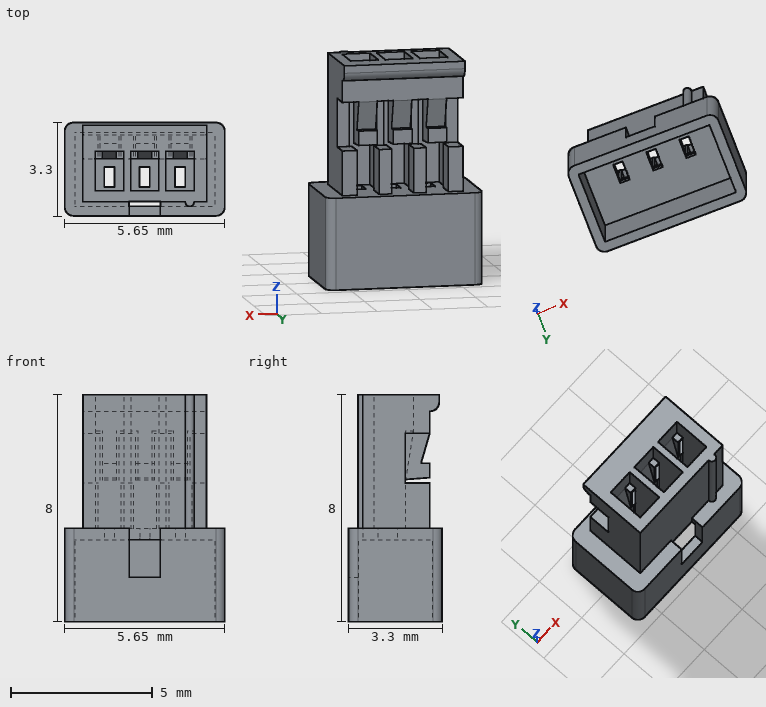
import cadquery as cq

base_length = 5.65
base_width = 3.3
base_height = 3.3
base_corner_radius = 0.32
total_height = 8.0

wall = 0.35
ceiling_height = 2.9

notch_width = 1.1
notch_floor = 1.57

body_length = 4.35
front_setback = 0.5
body_depth = 2.36
lip_overhang = 0.34
lip_height = 0.59
key_radius = 0.15
key_standoff = 0.02
key_x = 1.58

slot_count = 3
slot_pitch = 1.25
slot_width = 1.0
slot_front_wall = 0.38
slot_depth = 1.39
slot_floor = base_height
slot_ledge_above_window = 0.1
pin_hole_width = 0.35
pin_hole_depth = 0.7
pin_hole_setback = 0.52

window_top = total_height - 1.37
window_bottom = total_height - 3.1
window_setback = 1.5
channel_width = 0.8
arm_width = 0.67
arm_groove_width = 0.5
arm_ledge_inset = 0.3
arm_ledge_z = total_height - 2.42
arm_tip_outer_z = total_height - 2.93
arm_tip_inner_z = total_height - 2.99

body_front = -base_width / 2 + front_setback
body_back = body_front + body_depth
slot_front = body_front + slot_front_wall
slot_back = slot_front + slot_depth
slot_ledge_z = window_top + slot_ledge_above_window
window_front = body_front + window_setback
slot_centres = [(i - (slot_count - 1) / 2) * slot_pitch for i in range(slot_count)]


def block(length, y_min, y_max, z_min, z_max, x_centre=0):
    """Box centred on x_centre, between the given Y and Z limits."""
    corner = (x_centre - length / 2, y_min, z_min)
    return cq.Workplane("XY").box(length, y_max - y_min, z_max - z_min, centered=False).translate(corner)


def make_base():
    base = block(base_length, -base_width / 2, base_width / 2, 0, base_height)
    base = base.edges("|Z").fillet(base_corner_radius)
    inner_y = base_width / 2 - wall
    hollow = block(base_length - 2 * wall, -inner_y, inner_y, 0, ceiling_height)
    notch = block(notch_width, -base_width / 2, body_front, notch_floor, base_height)
    return base.cut(hollow).cut(notch)


def make_body():
    lip_back = body_back + lip_overhang
    lip_bottom = total_height - lip_height
    body = (
        cq.Workplane("YZ")
        .moveTo(body_front, ceiling_height)
        .lineTo(body_front, total_height)
        .lineTo(lip_back, total_height)
        .lineTo(lip_back, lip_bottom + lip_overhang)
        .radiusArc((body_back, lip_bottom), lip_overhang)
        .lineTo(body_back, ceiling_height)
        .close()
        .extrude(body_length / 2, both=True)
    )
    key_axis_y = body_front - key_standoff
    key = (
        cq.Workplane("XY", origin=(key_x, key_axis_y, base_height))
        .circle(key_radius)
        .extrude(total_height - base_height)
    )
    key_root = block(2 * key_radius, key_axis_y, body_front, base_height, total_height, key_x)
    return body.union(key).union(key_root)


def make_slot(x_centre):
    """Contact slot: full depth above the ledge at its rear, shallower below it, with a pin hole."""
    lower = block(slot_width, slot_front, window_front, slot_floor, total_height, x_centre)
    upper = block(slot_width, window_front, slot_back, slot_ledge_z, total_height, x_centre)
    hole_front = body_front + pin_hole_setback
    pin_hole = block(
        pin_hole_width, hole_front, hole_front + pin_hole_depth, ceiling_height, slot_floor, x_centre
    )
    return lower.union(upper).union(pin_hole)


def make_latch_arm(x_centre):
    """Arm hanging from the window top, sloping inward at the rear down to a hooked tip."""
    return (
        cq.Workplane("YZ", origin=(x_centre, 0, 0))
        .moveTo(window_front, window_top)
        .lineTo(body_back, window_top)
        .lineTo(body_back - arm_ledge_inset, arm_ledge_z)
        .lineTo(body_back, arm_ledge_z)
        .lineTo(body_back, arm_tip_outer_z)
        .lineTo(window_front, arm_tip_inner_z)
        .close()
        .extrude(arm_width / 2, both=True)
    )


def make_arm_groove(x_centre):
    """Wedge groove in the arm's inner face, running out from the slot ledge to the arm tip."""
    return (
        cq.Workplane("YZ", origin=(x_centre, 0, 0))
        .moveTo(window_front, slot_ledge_z)
        .lineTo(slot_back, slot_ledge_z)
        .lineTo(window_front, arm_tip_inner_z)
        .close()
        .extrude(arm_groove_width / 2, both=True)
    )


result = make_base().union(make_body())
result = result.cut(block(body_length, window_front, body_back, window_bottom, window_top))
for centre in slot_centres:
    result = result.cut(make_slot(centre))
    result = result.cut(block(channel_width, window_front, body_back, base_height, window_bottom, centre))
    result = result.union(make_latch_arm(centre)).cut(make_arm_groove(centre))